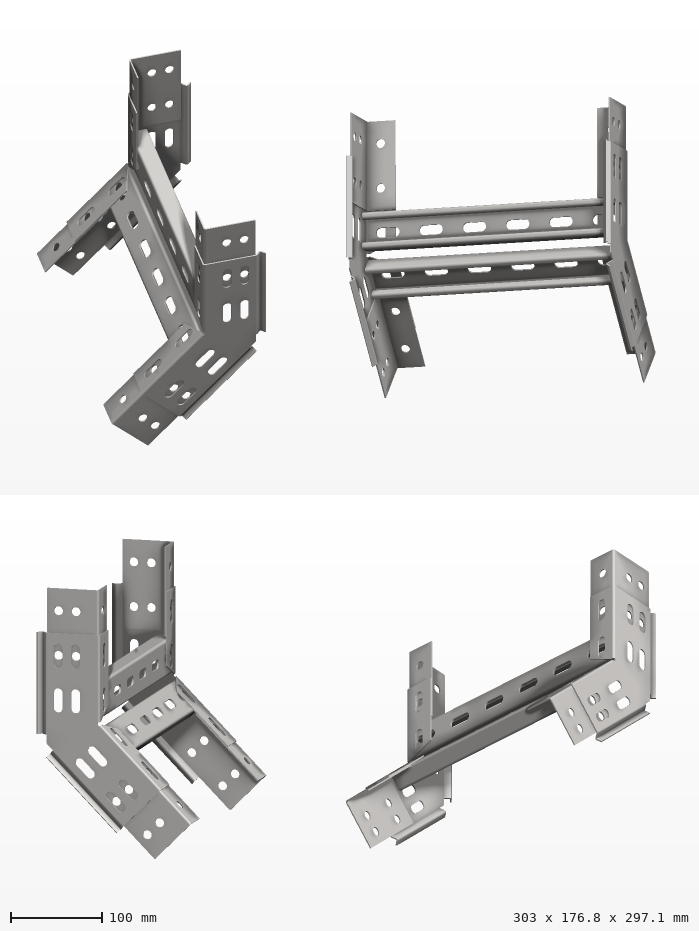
import cadquery as cq
import math


bend_angle = 45.0
half_bend = math.radians(bend_angle / 2)
bisector_normal = (0, math.sin(half_bend), math.cos(half_bend))
sheet = 1.5
inner_radius = 1.0
outer_radius = inner_radius + sheet

outer_width = 303.0
rail_x = outer_width / 2
rail_depth = 60.5
arm_length = 98.96
flange_width = 35.0
flange_root_gap = 1.7
flange_tip_gap = 15.7
flange_root_width = 5.0

lip_angle = 45.0
lip_start = rail_depth + outer_radius * math.tan(math.radians(lip_angle / 2))
lip_in = 5.3
lip_out = 4.6
lip_corner_gap = 10.0
back_corner_z = -rail_depth * math.tan(half_bend)

splice_x = rail_x - sheet
splice_length = 100.0
splice_overhang = 50.0
splice_depth = rail_depth - sheet
splice_flange = flange_width - sheet

hole_diameter = 10.0
slot_length = 27.0
hole_end_distance = 25.0
hole_pitch = 50.0
web_hole_y = (27.5, 47.5)
flange_hole_x = rail_x - 18.0
hole_rows = 2
cutter_depth = 2 * sheet
inward_plane = cq.Plane((0, 0, 0), xDir=(-1, 0, 0), normal=(0, 1, 0))

rung_length = 297.0
rung_height = 41.0
rung_depth = 21.0
rung_sheet = 2.0
rung_lip = 7.5
rung_return = 8.0
rung_inner_radius = 1.0
rung_outer_radius = rung_inner_radius + rung_sheet
rung_z = arm_length - hole_end_distance - hole_pitch
rung_slot_length = 27.0
rung_slot_width = 11.0
rung_slot_pitch = 50.0
rung_slot_count = 6


def to_lower_arm(body):
    """Mirror an upper-arm body in the plane that bisects the bend."""
    return body.mirror(bisector_normal, (0, 0, 0))


def to_right_side(body):
    """Mirror a left-hand body across the ladder."""
    return body.mirror("YZ")


def rounded_section(plane, corners):
    """Closed section from (x, y, radius) corners; radius 0 leaves a corner sharp."""
    stretches = []
    for i, (x, y, radius) in enumerate(corners):
        if radius == 0:
            stretches.append([(x, y)])
            continue
        x_before, y_before, _ = corners[i - 1]
        x_after, y_after, _ = corners[(i + 1) % len(corners)]
        to_before = cq.Vector(x_before - x, y_before - y).normalized()
        to_after = cq.Vector(x_after - x, y_after - y).normalized()
        half_corner = to_before.getAngle(to_after) / 2
        tangent = radius / math.tan(half_corner)
        to_arc_middle = (to_before + to_after).normalized() * (radius / math.sin(half_corner) - radius)
        offsets = [to_before * tangent, to_arc_middle, to_after * tangent]
        stretches.append([(x + offset.x, y + offset.y) for offset in offsets])

    section = cq.Workplane(plane).moveTo(*stretches[0][-1])
    for stretch in stretches[1:] + stretches[:1]:
        section = section.lineTo(*stretch[0])
        if len(stretch) > 1:
            section = section.threePointArc(stretch[1], stretch[2])
    return section.close()


def sheet_angle(x, y, width, depth, bottom, top):
    """Upright bent angle with its outer corner at (-x, y): flange along +X, leg along +Y."""
    corners = [
        (0, 0, outer_radius),
        (width, 0, 0),
        (width, sheet, 0),
        (sheet, sheet, inner_radius),
        (sheet, depth, 0),
        (0, depth, 0),
    ]
    return rounded_section("XY", corners).extrude(top - bottom).translate((-x, y, bottom))


def opening_cutters(workplane, length):
    """Cutter at each pushed point: a round hole, or an upright slot if longer than wide."""
    if length > hole_diameter:
        return workplane.slot2D(length, hole_diameter, 90).extrude(cutter_depth)
    return workplane.circle(hole_diameter / 2).extrude(cutter_depth)


def cut_fastener_openings(body, top, length):
    """Two rows of openings below an arm body's top: a pair in its web, one in its flange."""
    for row in range(hole_rows):
        z = top - hole_end_distance - row * hole_pitch
        web_points = [(y, z) for y in web_hole_y]
        web = cq.Workplane("YZ").workplane(offset=-rail_x).pushPoints(web_points)
        flange = cq.Workplane(inward_plane).pushPoints([(flange_hole_x, z)])
        body = body.cut(opening_cutters(web, length)).cut(opening_cutters(flange, length))
    return body


def make_web():
    """Flat left web of the upper arm, mitred on the bisecting plane."""
    points = [
        (outer_radius, arm_length),
        (rail_depth, arm_length),
        (rail_depth, back_corner_z),
        (outer_radius, -outer_radius * math.tan(half_bend)),
    ]
    plane = cq.Workplane("YZ").workplane(offset=-rail_x)
    return plane.polyline(points).close().extrude(sheet)


def make_flange():
    """Front flange with its bend, its lower end sloped clear of the other arm."""
    flange = sheet_angle(rail_x, 0, flange_width, 2 * outer_radius, flange_root_gap, arm_length)
    slope_start = -rail_x + flange_root_width
    tip = -rail_x + flange_width
    wedge = (
        cq.Workplane("XZ")
        .polyline([(slope_start, flange_root_gap), (tip, flange_root_gap), (tip, flange_tip_gap)])
        .close()
        .extrude(-sheet)
    )
    return flange.cut(wedge)


def make_lip():
    """V-shaped stiffening lip along the back edge of the web."""
    cap = sheet / math.sqrt(2)
    root_y = rail_depth - sheet
    peak_y = lip_start + lip_in
    end_x = lip_in - lip_out
    end_y = peak_y + lip_out
    corners = [
        (0, root_y, 0),
        (0, lip_start, outer_radius),
        (lip_in, peak_y, inner_radius),
        (end_x, end_y, 0),
        (end_x + cap, end_y + cap, 0),
        (lip_in + 2 * cap, peak_y, outer_radius),
        (sheet, lip_start + sheet - 2 * cap, inner_radius),
        (sheet, root_y, 0),
    ]
    bottom = back_corner_z + lip_corner_gap
    lip = rounded_section("XY", corners).extrude(arm_length - bottom)
    return lip.translate((-rail_x, 0, bottom))


def make_rail():
    """Left rail: the upper arm and its mirror image, joined across the bend."""
    arm = make_web().union(make_flange()).union(make_lip())
    arm = cut_fastener_openings(arm, arm_length, slot_length)
    return arm.union(to_lower_arm(arm))


def make_splice():
    """Left upper splice angle, set inside the rail end and standing out above it."""
    top = arm_length + splice_overhang
    splice = sheet_angle(splice_x, sheet, splice_flange, splice_depth, top - splice_length, top)
    return cut_fastener_openings(splice, top, hole_diameter)


def make_rung():
    """Slotted strut, open towards the back, its lips turned in again towards the front."""
    mouth = rung_height / 2 - rung_lip
    upper_half = [
        (rung_sheet, rung_height / 2 - rung_sheet, rung_inner_radius),
        (rung_depth - rung_sheet, rung_height / 2 - rung_sheet, rung_inner_radius),
        (rung_depth - rung_sheet, mouth + rung_sheet, rung_inner_radius),
        (rung_depth - rung_return, mouth + rung_sheet, 0),
        (rung_depth - rung_return, mouth, 0),
        (rung_depth, mouth, rung_outer_radius),
        (rung_depth, rung_height / 2, rung_outer_radius),
        (0, rung_height / 2, rung_outer_radius),
    ]
    lower_half = [(y, -z, radius) for y, z, radius in reversed(upper_half)]
    strut = rounded_section("YZ", upper_half + lower_half).extrude(rung_length / 2, both=True)
    slots = (
        cq.Workplane("XZ")
        .rarray(rung_slot_pitch, 1, rung_slot_count, 1)
        .slot2D(rung_slot_length, rung_slot_width)
        .extrude(-2 * rung_sheet)
    )
    return strut.cut(slots).translate((0, sheet, rung_z))


left_rail = make_rail()
rails = [left_rail, to_right_side(left_rail)]

upper_splice = make_splice()
splices = []
for arm_splice in (upper_splice, to_lower_arm(upper_splice)):
    splices += [arm_splice, to_right_side(arm_splice)]

upper_rung = make_rung()
rungs = [upper_rung, to_lower_arm(upper_rung)]

result = cq.Compound.makeCompound([body.val() for body in rails + splices + rungs])